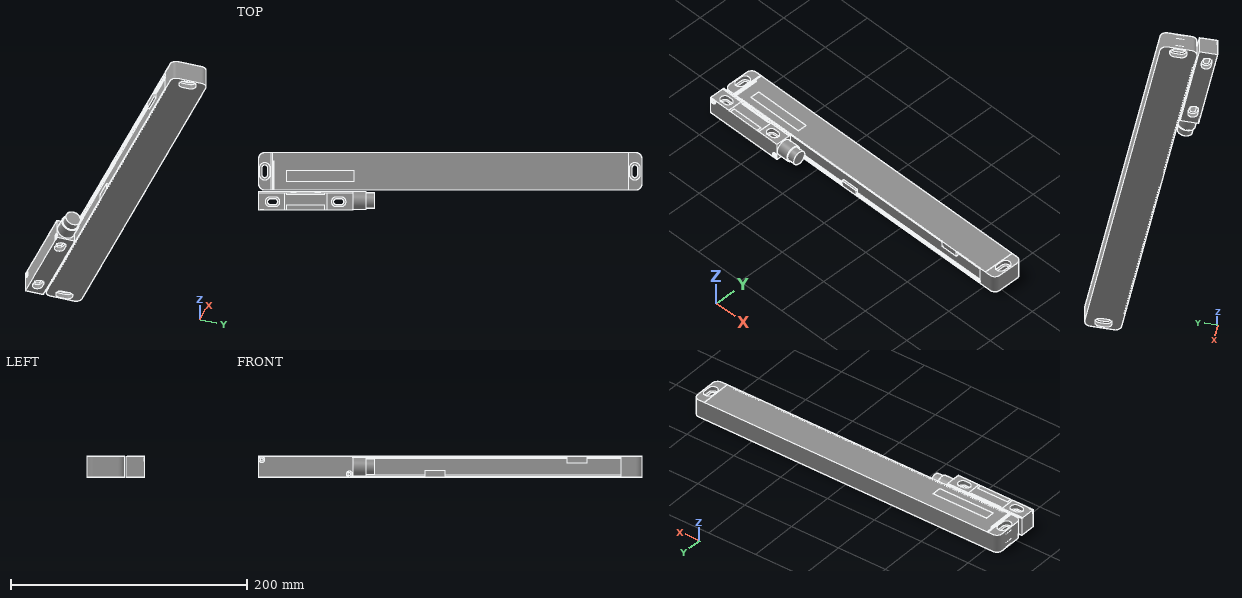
import cadquery as cq

height = 18.0
overall_depth = 49.0
mid_height = height / 2

housing_length = 325.0
housing_front = 17.0
housing_depth = overall_depth - housing_front
corner_radius = 5.5
left_end_block_length = 11.8
left_seam_width = 1.0
right_seam_width = 0.1
right_end_block_length = 11.5
seam_depth = 0.1

solid_end_length = 18.0
channel_length = housing_length - 2 * solid_end_length
lip_height = 0.95
ledge_height = 1.95
lip_depth = 1.0
channel_depth = 2.0

clip_length = 17.0
clip_height = 5.5
lower_clip_start = 141.0
upper_clip_start = 261.5
clip_edge_gap = 0.4

left_slot_inset = 5.4
right_slot_inset = 6.2
housing_slot_centre_y = 33.0
housing_slot_length = 10.6
housing_slot_width = 4.6
housing_recess_length = 14.8
housing_recess_width = 9.0
housing_recess_depth = 4.5

label_start_x = 24.0
label_start_y = 24.5
label_length = 57.0
label_width = 9.2
label_depth = 0.2
slit_start_x = 12.3
slit_width = 1.1
slit_length = 24.5
slit_depth = 0.5

head_length = 80.0
head_depth = 16.0
step_from_back = 1.4
step_depth = 0.15
middle_start = 24.0
middle_end = 56.0
middle_depth = 0.1
groove_width = 2.0
groove_depth = 0.2
panel_front = 4.5
panel_back = 13.5
panel_depth = 0.1
notch_length = 4.5
notch_width = 1.0
notch_depth = 1.0
notch_starts = (27.5, 48.0)

head_slot_centres = (12.0, 68.0)
head_slot_y = 7.2
head_slot_length = 8.5
head_slot_width = 5.0
head_recess_length = 12.2
head_recess_width = 8.4
head_recess_depth = 4.5

screw_inset = 2.9
screw_outer_diameter = 5.0
screw_inner_diameter = 2.5
screw_recess_depth = 0.5
screw_hole_depth = 5.0

outlet_y = 8.2
collar_diameter = 15.4
collar_length = 11.3
spigot_diameter = 13.3
spigot_length = 7.2


def box(x, y, z, length, depth, tall):
    """Block with its lowest corner at (x, y, z)."""
    return cq.Workplane("XY").box(length, depth, tall, centered=False).translate((x, y, z))


def recessed_slot(x, y, angle, length, width, recess_length, recess_width, recess_depth):
    """Through slot with a wider slot-shaped recess at the top and bottom."""
    slot = cq.Workplane("XY").center(x, y).slot2D(length, width, angle).extrude(height)
    recess = cq.Workplane("XY").center(x, y).slot2D(recess_length, recess_width, angle).extrude(recess_depth)
    return slot.union(recess).union(recess.translate((0, 0, height - recess_depth)))


def front_channel():
    """Stepped channel: a shallow wide rebate with a deeper channel between the lips."""
    rebate = box(solid_end_length, housing_front, lip_height,
                 channel_length, lip_depth, height - 2 * lip_height)
    deep = box(solid_end_length, housing_front, ledge_height,
               channel_length, channel_depth, height - 2 * ledge_height)
    return rebate.union(deep)


def clip(start_x, start_z):
    return box(start_x, housing_front, start_z, clip_length, channel_depth, clip_height)


def seam(start_x, width):
    """Shallow line across the housing's top, between an end block and the middle."""
    return box(start_x, housing_front, height - seam_depth, width, housing_depth, seam_depth)


def make_housing():
    body = box(0, housing_front, 0, housing_length, housing_depth, height)
    body = body.edges("|Z").fillet(corner_radius)
    body = body.cut(front_channel())
    body = body.union(clip(lower_clip_start, clip_edge_gap))
    body = body.union(clip(upper_clip_start, height - clip_edge_gap - clip_height))
    for x in (left_slot_inset, housing_length - right_slot_inset):
        body = body.cut(recessed_slot(x, housing_slot_centre_y, 90, housing_slot_length, housing_slot_width,
                                      housing_recess_length, housing_recess_width, housing_recess_depth))
    body = body.cut(seam(left_end_block_length - left_seam_width, left_seam_width))
    body = body.cut(seam(housing_length - right_end_block_length, right_seam_width))
    body = body.cut(box(label_start_x, label_start_y, height - label_depth,
                        label_length, label_width, label_depth))
    return body.cut(box(slit_start_x, housing_front, height - slit_depth,
                        slit_width, slit_length, slit_depth))


def screw_hole(x, z):
    """Stepped round hole entering the head's outer face."""
    plane = cq.Workplane("XZ").center(x, z)
    recess = plane.circle(screw_outer_diameter / 2).extrude(-screw_recess_depth)
    return recess.union(plane.circle(screw_inner_diameter / 2).extrude(-screw_hole_depth))


def cable_outlet():
    collar = cq.Workplane("YZ", origin=(head_length, outlet_y, mid_height))
    collar = collar.circle(collar_diameter / 2).extrude(collar_length)
    return collar.faces(">X").workplane().circle(spigot_diameter / 2).extrude(spigot_length)


def make_head():
    body = box(0, 0, 0, head_length, head_depth, height)
    step_y = head_depth - step_from_back
    body = body.cut(box(0, step_y, height - step_depth, head_length, step_from_back, step_depth))
    middle_length = middle_end - middle_start
    body = body.cut(box(middle_start, 0, height - middle_depth, middle_length, step_y, middle_depth))
    for x in (middle_start - groove_width, middle_end):
        body = body.cut(box(x, 0, height - groove_depth, groove_width, step_y, groove_depth))
    body = body.cut(box(middle_start, panel_front, height - middle_depth - panel_depth,
                        middle_length, panel_back - panel_front, panel_depth))
    for x in notch_starts:
        body = body.cut(box(x, head_depth - notch_width, height - notch_depth,
                            notch_length, notch_width, notch_depth))
    for x in head_slot_centres:
        body = body.cut(recessed_slot(x, head_slot_y, 0, head_slot_length, head_slot_width,
                                      head_recess_length, head_recess_width, head_recess_depth))
    body = body.cut(screw_hole(screw_inset, height - screw_inset))
    body = body.cut(screw_hole(head_length - screw_inset, screw_inset))
    return body.union(cable_outlet())


housing = make_housing()
head = make_head()
result = cq.Compound.makeCompound([housing.val(), head.val()])